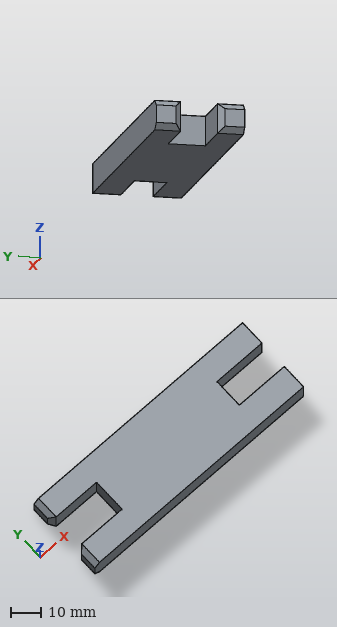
import cadquery as cq

length = 93.0
width = 30.0
thickness = 10.0

slot_depth = 20.0
left_slot_width = 12.6
right_slot_width = 11.0

tip_chamfer = 2.0


def end_slot(slot_width, end):
    """Cutter for a through slot; end is -1 for the -X end, +1 for the +X end."""
    return cq.Workplane("XY").box(2 * slot_depth, slot_width, thickness).translate(
        (end * length / 2, 0, 0)
    )


plate = cq.Workplane("XY").box(length, width, thickness)
slotted = plate.cut(end_slot(left_slot_width, -1)).cut(end_slot(right_slot_width, 1))

left_end_edges = slotted.faces("<X").edges()
outer_side_edges = slotted.faces("<X").edges("<Y or >Y")
tip_edges = left_end_edges.newObject(
    [
        edge
        for edge in left_end_edges.vals()
        if not any(edge.isSame(outer) for outer in outer_side_edges.vals())
    ]
)

result = tip_edges.chamfer(tip_chamfer)